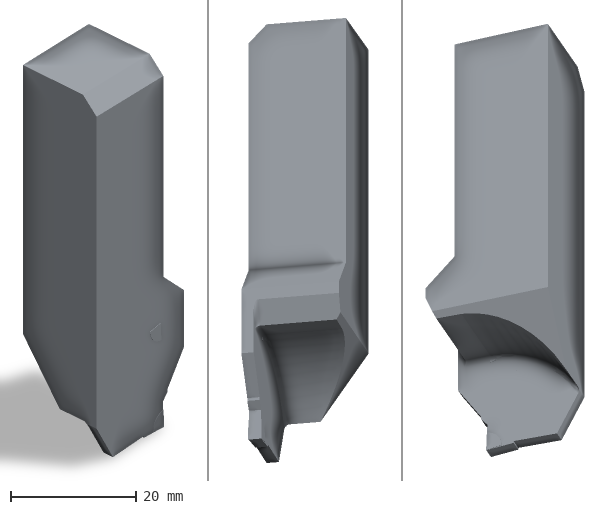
import cadquery as cq
import math

top_z = 70.0
width = 16.0
depth = 20.9
shank_depth = 15.95
top_chamfer = 2.95
side_draft = 0.2
margin = 3.5

step_bottom_z = 23.7
step_top_z = step_bottom_z + depth - shank_depth
nose_z = 12.95
blade_front_y, blade_front_z = 15.9, 5.1
blade_bottom_y, blade_bottom_z = 11.35, 0.55
heel_y, heel_z = 3.9, 0.15
heel_top_z = 7.5

blade_thickness = 2.0
blade_x = width - blade_thickness
relief_fillet = 0.7
flank_top_z = 21.85
relief_corner = (19.4, 17.9)
arc_start = (15.1, 17.8)
arc_middle = (6.3, 14.8)
arc_end = (0.0, 7.8)
arc_slope = 1.4

slope_top_z = 19.0
slope_bottom_x, slope_bottom_z = 8.1, arc_end[1]

insert_tilt = 2.2
insert_back_y = 11.0
insert_center_z = 9.95
tip_u = 4.7
tilt_angle = math.radians(insert_tilt)
tip_w = (insert_center_z + tip_u * math.sin(tilt_angle)) / math.cos(tilt_angle)
back_w = 9.7
waist_u, waist_w = 5.8, 3.9
neck_w = 5.2
pad_height = 0.1
pad_top_w = 6.8
pad_mid_u, pad_mid_w = 3.35, 7.3
pad_back_u, pad_back_w = 2.1, 9.7


def yz_plane(x):
    """Sketch plane at the given X, with Y and Z as its local axes."""
    return cq.Workplane("YZ", origin=(x, 0, 0))


def holder_blank():
    """Shank, head and blade outline at full width."""
    blank = yz_plane(0).polyline([
        (0, top_z), (shank_depth, top_z), (shank_depth, step_top_z),
        (depth, step_bottom_z), (depth, nose_z),
        (blade_front_y, blade_front_z), (blade_bottom_y, blade_bottom_z),
        (heel_y, heel_z), (0, heel_top_z),
    ]).close().extrude(width)
    return blank.intersect(cq.Workplane("XY").polyline([
        (side_draft, 0), (width, 0), (width, depth), (0, depth),
    ]).close().extrude(top_z))


def top_corner():
    """Wedge removed from the upper +X edge."""
    return cq.Workplane("XZ").polyline([
        (width - top_chamfer, top_z), (width, top_z), (width, top_z - top_chamfer),
    ]).close().extrude(-depth)


def blade_relief():
    """Pocket on the -X side of the blade, with a rounded foot."""
    corner_y, corner_z = relief_corner
    flank_slope = (flank_top_z - corner_z) / (depth - corner_y)
    relief = (
        yz_plane(-margin)
        .moveTo(depth + margin, flank_top_z + margin * flank_slope)
        .lineTo(corner_y, corner_z)
        .lineTo(*arc_start)
        .threePointArc(arc_middle, arc_end)
        .lineTo(-margin, arc_end[1] - margin * arc_slope)
        .lineTo(-margin, -margin)
        .lineTo(depth + margin, -margin)
        .close()
        .extrude(blade_x + margin)
    )
    return relief.faces(">X").edges().fillet(relief_fillet)


def underside_slope():
    """Wedge below the head that slopes down from the -X face."""
    steepness = (slope_top_z - slope_bottom_z) / slope_bottom_x
    return cq.Workplane("XZ").polyline([
        (-margin, slope_top_z + margin * steepness),
        (slope_bottom_x, slope_bottom_z), (slope_bottom_x, -margin), (-margin, -margin),
    ]).close().extrude(-depth)


def make_insert():
    """Insert with a waist and two identical ends, tilted in the blade."""
    body = yz_plane(blade_x).polyline([
        (0, -back_w), (tip_u, -tip_w), (tip_u, -neck_w), (waist_u, -waist_w),
        (waist_u, waist_w), (tip_u, neck_w), (tip_u, tip_w), (0, back_w),
    ]).close().extrude(blade_thickness)
    pad = (
        yz_plane(blade_x - pad_height)
        .moveTo(tip_u, -tip_w)
        .lineTo(tip_u, -pad_top_w)
        .threePointArc((pad_mid_u, -pad_mid_w), (pad_back_u, -pad_back_w))
        .close()
        .extrude(blade_thickness + 2 * pad_height)
    )
    body = body.union(pad).union(pad.mirror("XY"))
    body = body.rotate((0, 0, 0), (1, 0, 0), insert_tilt)
    return body.translate((0, insert_back_y, insert_center_z))


def make_holder(insert):
    """Holder with a seat that matches the insert."""
    holder = holder_blank().cut(top_corner())
    holder = holder.cut(blade_relief())
    holder = holder.cut(underside_slope())
    return holder.cut(insert)


insert = make_insert()
holder = make_holder(insert)
result = cq.Compound.makeCompound([holder.solids().val(), insert.solids().val()])